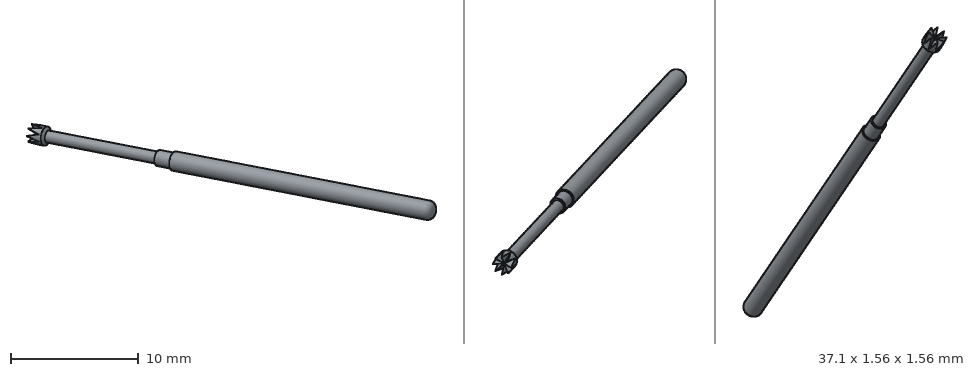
import cadquery as cq
import math


total_length = 37.08
crown_length = 1.3
crown_chamfer = 0.2
collar_start = 11.7
barrel_start = 13.15
cap_length = 0.55

crown_diameter = 1.55
plunger_diameter = 0.98
collar_diameter = 1.3
barrel_diameter = 1.56

tooth_count = 8
rim_depth = 1.1
centre_depth = 0.5

crown_end = crown_length + crown_chamfer
crown_radius = crown_diameter / 2
plunger_radius = plunger_diameter / 2
collar_radius = collar_diameter / 2
barrel_radius = barrel_diameter / 2
cap_start = total_length - cap_length
cap_corner_middle = (
    cap_start + cap_length * math.sin(math.pi / 4),
    barrel_radius - cap_length * (1 - math.cos(math.pi / 4)),
)
cap_face_radius = barrel_radius - cap_length


def make_turned_body():
    """Revolve the half profile of crown blank, plunger, collar and barrel about X."""
    return (
        cq.Workplane("XY")
        .moveTo(0, 0)
        .lineTo(0, crown_radius)
        .lineTo(crown_length, crown_radius)
        .lineTo(crown_end, plunger_radius)
        .lineTo(collar_start, plunger_radius)
        .lineTo(collar_start, collar_radius)
        .lineTo(barrel_start, collar_radius)
        .lineTo(barrel_start, barrel_radius)
        .lineTo(cap_start, barrel_radius)
        .threePointArc(cap_corner_middle, (total_length, cap_face_radius))
        .lineTo(total_length, 0)
        .close()
        .revolve(360, (0, 0, 0), (1, 0, 0))
    )


def make_groove(angle):
    """V groove whose floor runs from the axis down to the rim, turned about X by the angle."""
    floor_slope = (rim_depth - centre_depth) / crown_radius
    floor_tilt = math.atan(floor_slope)
    tip_offset = crown_radius * math.sin(math.pi / tooth_count)
    wall_slope = rim_depth / tip_offset * math.cos(floor_tilt)
    groove_height = 2 * crown_diameter
    half_width = groove_height / wall_slope
    return (
        cq.Workplane("XY")
        .polyline([(0, 0), (-groove_height, half_width), (-groove_height, -half_width)])
        .close()
        .extrude(crown_diameter, both=True)
        .rotate((0, 0, 0), (0, 1, 0), math.degrees(floor_tilt))
        .translate((centre_depth, 0, 0))
        .rotate((0, 0, 0), (1, 0, 0), angle)
    )


def cut_crown(body):
    """Cut one groove between neighbouring teeth, leaving a ring of pointed teeth."""
    tooth_pitch = 360 / tooth_count
    for index in range(tooth_count):
        body = body.cut(make_groove((index + 0.5) * tooth_pitch))
    return body


result = cut_crown(make_turned_body())